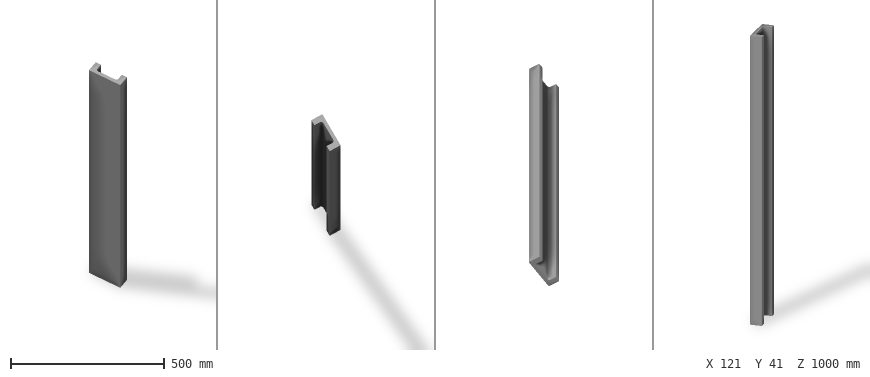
import cadquery as cq

width = 121.0
depth = 41.0
length = 1000.0

web_thickness = 12.0
flange_thickness = 20.0

root_radius = 8.0
tip_radius = 2.0
heel_radius = 2.0

half_width = width / 2
half_opening = half_width - flange_thickness
back_y = -depth / 2
tip_y = depth / 2
floor_y = back_y + web_thickness


def vertical_edges_at(channel, half_span, y):
    """Select the two mirrored lengthwise edges at x = +/-half_span."""
    reach = 1.0
    selector = None
    for x in (-half_span, half_span):
        box = cq.selectors.BoxSelector(
            (x - reach, y - reach, -length), (x + reach, y + reach, length)
        )
        selector = box if selector is None else selector + box
    return channel.edges("|Z").edges(selector)


channel = (
    cq.Workplane("XY")
    .polyline([
        (-half_width, back_y),
        (half_width, back_y),
        (half_width, tip_y),
        (half_opening, tip_y),
        (half_opening, floor_y),
        (-half_opening, floor_y),
        (-half_opening, tip_y),
        (-half_width, tip_y),
    ])
    .close()
    .extrude(length / 2, both=True)
)

channel = vertical_edges_at(channel, half_opening, floor_y).fillet(root_radius)
channel = vertical_edges_at(channel, half_width, tip_y).fillet(tip_radius)
channel = vertical_edges_at(channel, half_width, back_y).fillet(heel_radius)

result = channel